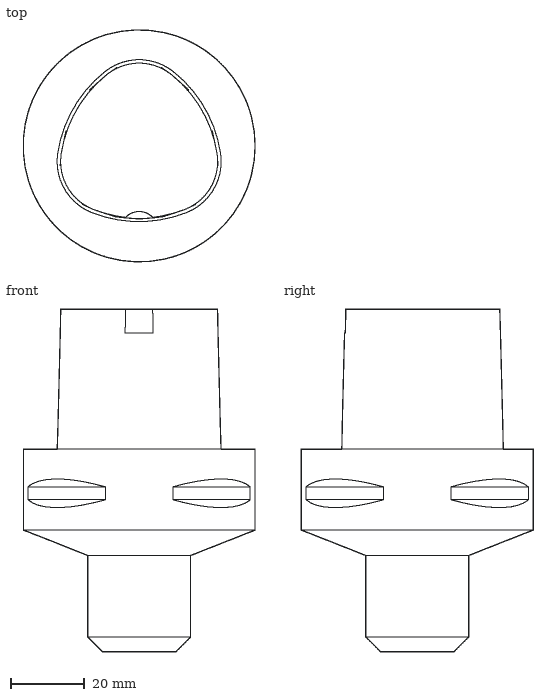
import cadquery as cq
import math


shank_length = 38.0
shank_corner_reach = 23.4
shank_side_reach = 20.55
corner_radius = 14.9
taper_per_side = 1 / 40
corner_angles = (90, 210, 330)
half_pitch = 60

notch_radius = 5.0
notch_depth = 6.5
notch_wall_reach = 17.8

flange_diameter = 63.0
flange_height = 22.0
cone_height = 6.9
overall_length = 93.0
stem_diameter = 28.0
stem_chamfer = 4.0

groove_angles = (45, 135, 225, 315)
groove_center_drop = 12.0
groove_floor_reach = 27.8
groove_floor_width = 3.5
groove_wall_angle = 30
groove_overrun = 2.0

flange_radius = flange_diameter / 2
stem_radius = stem_diameter / 2
flange_bottom = -flange_height
cone_bottom = flange_bottom - cone_height
stem_bottom = shank_length - overall_length

corner_center_reach = shank_corner_reach - corner_radius
side_radius = (
    corner_radius**2
    - corner_center_reach**2
    - shank_side_reach**2
    + corner_center_reach * shank_side_reach
) / (2 * corner_radius + corner_center_reach - 2 * shank_side_reach)
side_center_reach = side_radius - shank_side_reach
corner_half_angle = half_pitch - math.degrees(
    math.atan2(
        corner_center_reach * math.sin(math.radians(half_pitch)),
        side_center_reach + corner_center_reach * math.cos(math.radians(half_pitch)),
    )
)


def polar(radius, angle):
    """Point at a radius and an angle in degrees."""
    return radius * math.cos(math.radians(angle)), radius * math.sin(math.radians(angle))


def corner_arc_end(corner_angle, offset_angle, inset):
    """Tangent point of a corner arc, offset_angle away from the corner's tip."""
    center_x, center_y = polar(corner_center_reach, corner_angle)
    dx, dy = polar(corner_radius - inset, corner_angle + offset_angle)
    return center_x + dx, center_y + dy


def shank_section(z, inset):
    """Closed wire of three corner arcs and three side arcs, shrunk by inset."""
    start = corner_arc_end(corner_angles[0], -corner_half_angle, inset)
    section = cq.Workplane("XY", origin=(0, 0, z)).moveTo(*start)
    for angle in corner_angles:
        corner_tip = polar(shank_corner_reach - inset, angle)
        corner_end = corner_arc_end(angle, corner_half_angle, inset)
        side_middle = polar(shank_side_reach - inset, angle + half_pitch)
        side_end = corner_arc_end(angle + 2 * half_pitch, -corner_half_angle, inset)
        section = section.threePointArc(corner_tip, corner_end)
        section = section.threePointArc(side_middle, side_end)
    return section.close().val()


def make_shank():
    base = shank_section(0, 0)
    end = shank_section(shank_length, shank_length * taper_per_side)
    return cq.Workplane(cq.Solid.makeLoft([base, end], True))


def make_notch():
    """Round-backed cutter that opens through the -Y side of the shank."""
    return (
        cq.Workplane("XY", origin=(0, 0, shank_length - notch_depth))
        .center(0, -notch_wall_reach - notch_radius)
        .circle(notch_radius)
        .extrude(notch_depth)
    )


def make_turned_body():
    """Flange, cone and chamfered stem as one revolved profile."""
    return (
        cq.Workplane("XZ")
        .polyline(
            [
                (0, 0),
                (flange_radius, 0),
                (flange_radius, flange_bottom),
                (stem_radius, cone_bottom),
                (stem_radius, stem_bottom + stem_chamfer),
                (stem_radius - stem_chamfer, stem_bottom),
                (0, stem_bottom),
            ]
        )
        .close()
        .revolve(360, (0, 0, 0), (0, 1, 0))
    )


def make_groove(angle):
    """Straight flat-bottomed V groove facing outward at the given angle."""
    outer_reach = flange_radius + groove_overrun
    wall_slope = math.tan(math.radians(groove_wall_angle))
    floor_half = groove_floor_width / 2
    mouth_half = floor_half + (outer_reach - groove_floor_reach) * wall_slope
    return (
        cq.Workplane("XZ")
        .polyline(
            [
                (groove_floor_reach, -groove_center_drop - floor_half),
                (outer_reach, -groove_center_drop - mouth_half),
                (outer_reach, -groove_center_drop + mouth_half),
                (groove_floor_reach, -groove_center_drop + floor_half),
            ]
        )
        .close()
        .extrude(flange_radius, both=True)
        .rotate((0, 0, 0), (0, 0, 1), angle)
    )


result = make_turned_body().union(make_shank()).cut(make_notch())
for groove_angle in groove_angles:
    result = result.cut(make_groove(groove_angle))